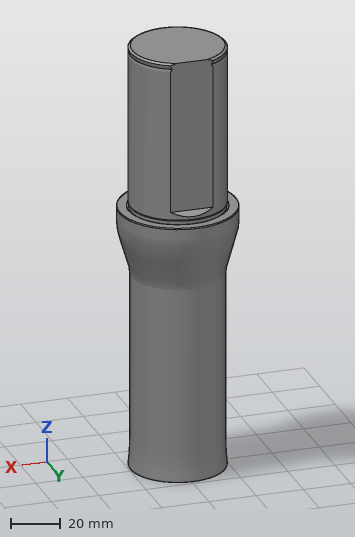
import cadquery as cq
import math

total_height = 183.0
collar_top = 113.5
collar_band = 5.5

collar_diameter = 49.5
tube_diameter = 38.8
shank_diameter = 40.0
foot_diameter = 39.9
neck_diameter = 39.5
top_face_diameter = 38.0

shoulder_diameter = 47.4
shoulder_z = 100.5
waist_diameter = 40.0
waist_z = 88.4
taper_bottom = 84.2

bevel_height = 0.5
bevel_width = 0.2
recess_diameter = 41.2
recess_depth = 0.5

flare_top = 11.3
rim_top = 1.5
dome_height = 0.7

neck_height = 1.1
neck_chamfer_height = 0.5
top_chamfer_height = 0.7
lip_bottom = 181.7
groove_floor = 180.6
groove_bottom = 179.5
flat_offset = 18.0
flat_bottom = 118.4

collar_r = collar_diameter / 2
tube_r = tube_diameter / 2
shank_r = shank_diameter / 2
foot_r = foot_diameter / 2
neck_r = neck_diameter / 2


def make_holder():
    """Tube with a flared, domed foot and a tapered collar, turned about Z."""
    band_bottom = collar_top - collar_band
    recess_r = recess_diameter / 2
    recess_floor = collar_top - recess_depth

    dome_radius = (foot_r**2 + dome_height**2) / (2 * dome_height)
    dome_mid_r = foot_r / 2
    dome_mid_z = dome_radius - math.sqrt(dome_radius**2 - dome_mid_r**2)

    flare_height = flare_top - rim_top
    flare_width = foot_r - tube_r
    flare_radius = (flare_height**2 + flare_width**2) / (2 * flare_width)
    flare_mid_z = flare_top - flare_height / 2
    flare_mid_r = tube_r + flare_radius - math.sqrt(flare_radius**2 - (flare_height / 2) ** 2)

    return (
        cq.Workplane("XZ")
        .moveTo(0, 0)
        .threePointArc((dome_mid_r, dome_mid_z), (foot_r, dome_height))
        .lineTo(foot_r, rim_top)
        .threePointArc((flare_mid_r, flare_mid_z), (tube_r, flare_top))
        .lineTo(tube_r, taper_bottom)
        .spline(
            [(waist_diameter / 2, waist_z), (shoulder_diameter / 2, shoulder_z), (collar_r, band_bottom)],
            tangents=[(0, 1), (0, 1)],
            includeCurrent=True,
        )
        .lineTo(collar_r, collar_top - bevel_height)
        .lineTo(collar_r - bevel_width, collar_top)
        .lineTo(recess_r, collar_top)
        .lineTo(recess_r, recess_floor)
        .lineTo(0, recess_floor)
        .close()
        .revolve(360, (0, 0, 0), (0, 1, 0))
    )


def make_flat_cutter():
    """Block that leaves the flat on the +Y side, with a 45 degree run-out."""
    reach = collar_r
    return (
        cq.Workplane("YZ")
        .moveTo(flat_offset, total_height)
        .lineTo(flat_offset, flat_bottom)
        .lineTo(reach, flat_bottom - (reach - flat_offset))
        .lineTo(reach, total_height)
        .close()
        .extrude(collar_r, both=True)
    )


def make_shank():
    """Shank seated in the collar recess, with a neck, a top groove and a side flat."""
    seat = collar_top - recess_depth
    neck_top = collar_top + neck_height
    profile = [
        (0, seat),
        (neck_r, seat),
        (neck_r, neck_top),
        (shank_r, neck_top + neck_chamfer_height),
        (shank_r, groove_bottom),
        (neck_r, groove_floor),
        (shank_r, lip_bottom),
        (shank_r, total_height - top_chamfer_height),
        (top_face_diameter / 2, total_height),
        (0, total_height),
    ]
    turned = cq.Workplane("XZ").polyline(profile).close().revolve(360, (0, 0, 0), (0, 1, 0))
    return turned.cut(make_flat_cutter())


holder = make_holder()
shank = make_shank()
result = cq.Compound.makeCompound([holder.val(), shank.val()])